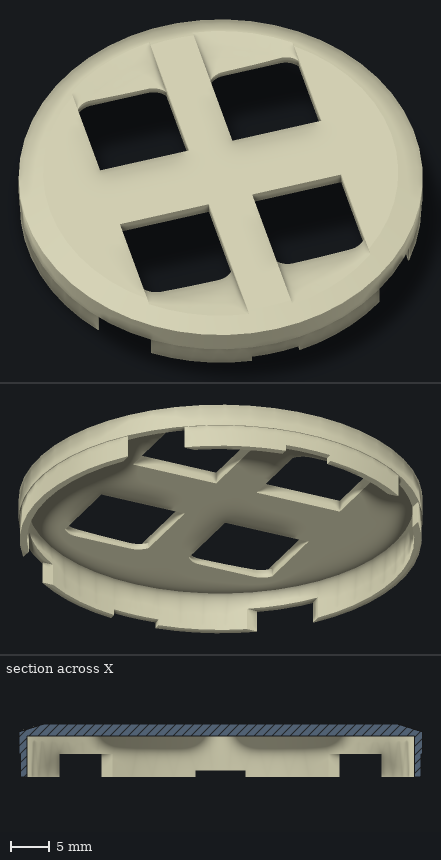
import cadquery as cq

RIM_RADIUS = 26.5
HEIGHT = 7.0
SKIRT_HEIGHT = 3.0
BEVEL_BASE_Z = 6.0
TOP_FLAT_RADIUS = 23.3
BEVEL_SLOPE = (HEIGHT - BEVEL_BASE_Z) / (RIM_RADIUS - TOP_FLAT_RADIUS)

SKIRT_RADIUS = 26.35
CAVITY_RADIUS = 25.4
PLATE_THICKNESS = 1.6

CHANNEL_INNER = 15.6
CHANNEL_OUTER = 21.1

NOTCH_WIDTH = 6.5
NOTCH_HEIGHT = 0.85

WINDOW_X_INNER = 4.7
WINDOW_X_OUTER = 16.7
WINDOW_Y_INNER = 2.95
WINDOW_Y_OUTER = 15.1
CORNER_RADIUS = 2.6
CORNER_OVERLAP = 0.43

RECESS_RADIUS = 23.9
RECESS_RIM_Z = HEIGHT - (RECESS_RADIUS - TOP_FLAT_RADIUS) * BEVEL_SLOPE
RECESS_INNER_RADIUS = 15.5
RECESS_INNER_DEPTH = 0.8
RECESS_MID_RADIUS = 21.5
RECESS_MID_DEPTH = 0.48

QUADRANTS = [(sx, sy) for sx in (-1, 1) for sy in (-1, 1)]


def box(x_range, y_range, z_range):
    """Axis-aligned box spanning the given ranges, in either order."""
    sizes = [abs(b - a) for a, b in (x_range, y_range, z_range)]
    corner = [min(r) for r in (x_range, y_range, z_range)]
    return cq.Workplane("XY").box(*sizes, centered=False).translate(tuple(corner))


def revolve_profile(points):
    """Turn a closed (radius, z) outline about the Z axis."""
    return cq.Workplane("XZ").polyline(points).close().revolve(360, (0, 0), (0, 1))


def make_body():
    """Bevelled disc with a hollow underside and a slightly stepped-in skirt."""
    cavity_top = HEIGHT - PLATE_THICKNESS
    return revolve_profile([
        (0, HEIGHT),
        (TOP_FLAT_RADIUS, HEIGHT),
        (RIM_RADIUS, BEVEL_BASE_Z),
        (RIM_RADIUS, SKIRT_HEIGHT),
        (SKIRT_RADIUS, SKIRT_HEIGHT),
        (SKIRT_RADIUS, 0),
        (CAVITY_RADIUS, 0),
        (CAVITY_RADIUS, cavity_top),
        (0, cavity_top),
    ])


def cut_channels(body):
    """Cut straight channels through the skirt along X and along Y."""
    full = (-RIM_RADIUS, RIM_RADIUS)
    depth = (0, SKIRT_HEIGHT)
    for side in (-1, 1):
        band = (side * CHANNEL_INNER, side * CHANNEL_OUTER)
        body = body.cut(box(band, full, depth))
        body = body.cut(box(full, band, depth))
    return body


def cut_notches(body):
    """Cut the bottom notch through both teeth on the X axis."""
    half_width = NOTCH_WIDTH / 2
    return body.cut(box((-RIM_RADIUS, RIM_RADIUS), (-half_width, half_width), (0, NOTCH_HEIGHT)))


def make_window(sx, sy):
    """Through window with its two outboard corners partly rounded."""
    x_range = (sx * WINDOW_X_INNER, sx * WINDOW_X_OUTER)
    sharp = box(x_range, (sy * WINDOW_Y_INNER, sy * WINDOW_Y_OUTER), (0, HEIGHT))
    rounded_y = (sy * (WINDOW_Y_INNER - CORNER_OVERLAP), sy * (WINDOW_Y_OUTER + CORNER_OVERLAP))
    outboard_edges = "|Z and >X" if sx > 0 else "|Z and <X"
    rounded = box(x_range, rounded_y, (0, HEIGHT)).edges(outboard_edges).fillet(CORNER_RADIUS)
    return sharp.intersect(rounded)


def make_recess_dish():
    """Solid of revolution above the dished recess floor, which curves up to the bevel."""
    inner_z = HEIGHT - RECESS_INNER_DEPTH
    mid_point = (RECESS_MID_RADIUS, HEIGHT - RECESS_MID_DEPTH)
    profile = (
        cq.Workplane("XZ")
        .moveTo(0, inner_z)
        .lineTo(RECESS_INNER_RADIUS, inner_z)
        .threePointArc(mid_point, (RECESS_RADIUS, RECESS_RIM_Z))
        .lineTo(RECESS_RADIUS, HEIGHT)
        .lineTo(0, HEIGHT)
        .close()
    )
    return profile.revolve(360, (0, 0), (0, 1))


def cut_windows(body):
    """Cut each window and the sloping recess from it out to the bevel."""
    recess_dish = make_recess_dish()
    for sx, sy in QUADRANTS:
        recess_band = box(
            (sx * WINDOW_X_INNER, sx * RIM_RADIUS),
            (sy * WINDOW_Y_INNER, sy * WINDOW_Y_OUTER),
            (0, HEIGHT),
        )
        body = body.cut(recess_dish.intersect(recess_band))
        body = body.cut(make_window(sx, sy))
    return body


result = cut_windows(cut_notches(cut_channels(make_body())))